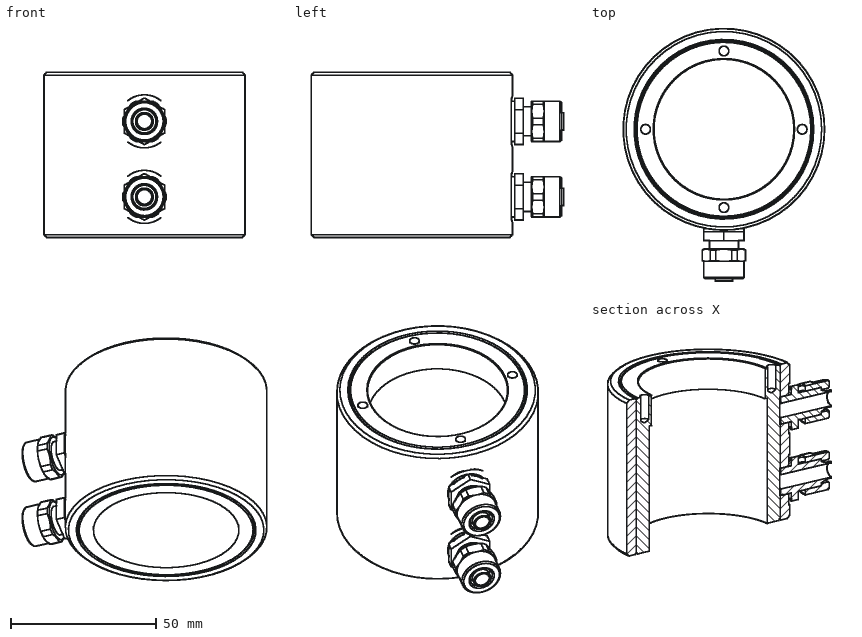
import cadquery as cq
import math

JACKET_RADIUS = 34.7
JACKET_HEIGHT = 57.0
RIM_CHAMFER = 1.05
SEAM_CHAMFER = 0.5

SLEEVE_RADIUS = 30.5
BORE_RADIUS = 24.1
LOWER_BORE_RADIUS = 25.1
LIP_HEIGHT = 11.3
BORE_CHAMFER = 0.3

SCREW_HOLE_COUNT = 4
SCREW_HOLE_RADIUS = 1.65
SCREW_CIRCLE_RADIUS = 27.0
SCREW_HOLE_DEPTH = 8.7
DRILL_POINT_ANGLE = 118.0

LOWER_FITTING_Z = 14.0
FITTING_SPACING = 26.0
FITTING_HEIGHTS = [LOWER_FITTING_Z, LOWER_FITTING_Z + FITTING_SPACING]
FITTING_TIP = 87.05 - JACKET_RADIUS
SPOTFACE_RADIUS = 9.1
SPOTFACE_DEPTH = 0.47
SEAT = JACKET_RADIUS - SPOTFACE_DEPTH

HEX_FLATS = 13.9
HEX_CORNERS = HEX_FLATS / math.cos(math.radians(30))
SEAL_THICKNESS = 1.1
BODY_HEX_THICKNESS = 3.0
SHANK_RADIUS = 4.9
SHANK_LENGTH = 3.5
SHANK_HOLE_DEPTH = 5.2
NECK_RADIUS = 5.05
CHANNEL_RADIUS = 2.5

TIP = FITTING_TIP - SEAT
NOZZLE_PROTRUSION = 0.8
NUT_END = TIP - NOZZLE_PROTRUSION
NUT_LENGTH = 10.4
NUT_START = NUT_END - NUT_LENGTH
HOSE_BORE_LENGTH = 3.5
NUT_SHOULDER = NUT_END - HOSE_BORE_LENGTH

NOZZLE_TIP_RADIUS = 3.05
NOZZLE_TIP_LENGTH = 1.7

NUT_HEX_LENGTH = 4.35
NUT_CORNER_RADIUS = 7.5
NUT_BACK_CHAMFER = 0.8
NUT_CHAMFER_SLOPE = math.tan(math.radians(30))
NUT_ROUND_RADIUS = HEX_FLATS / 2
NUT_END_CHAMFER = 0.5
HOSE_RADIUS = 4.0
HOSE_MOUTH_CHAMFER = 0.5


def revolved(profile):
    """Revolve (radius, height) points about the Z axis."""
    return cq.Workplane("XZ").polyline(profile).close().revolve(360, (0, 0, 0), (0, 1, 0))


def placed_on_jacket(shape, height):
    """Turn a part built along +Z so that it points to -Y and stands on the flat seat."""
    return shape.rotate((0, 0, 0), (1, 0, 0), 90).translate((0, -SEAT, height))


def make_jacket():
    jacket = revolved([
        (SLEEVE_RADIUS + SEAM_CHAMFER, 0),
        (JACKET_RADIUS - RIM_CHAMFER, 0),
        (JACKET_RADIUS, RIM_CHAMFER),
        (JACKET_RADIUS, JACKET_HEIGHT - RIM_CHAMFER),
        (JACKET_RADIUS - RIM_CHAMFER, JACKET_HEIGHT),
        (SLEEVE_RADIUS + SEAM_CHAMFER, JACKET_HEIGHT),
        (SLEEVE_RADIUS, JACKET_HEIGHT - SEAM_CHAMFER),
        (SLEEVE_RADIUS, SEAM_CHAMFER),
    ])
    spotface = cq.Workplane("XY").circle(SPOTFACE_RADIUS).extrude(2 * SPOTFACE_DEPTH)
    shank_hole = cq.Workplane("XY").circle(SHANK_RADIUS).extrude(-SHANK_HOLE_DEPTH)
    for height in FITTING_HEIGHTS:
        jacket = jacket.cut(placed_on_jacket(spotface, height))
        jacket = jacket.cut(placed_on_jacket(shank_hole, height))
    return jacket


def make_sleeve():
    sleeve = revolved([
        (LOWER_BORE_RADIUS, 0),
        (SLEEVE_RADIUS - SEAM_CHAMFER, 0),
        (SLEEVE_RADIUS, SEAM_CHAMFER),
        (SLEEVE_RADIUS, JACKET_HEIGHT - SEAM_CHAMFER),
        (SLEEVE_RADIUS - SEAM_CHAMFER, JACKET_HEIGHT),
        (BORE_RADIUS + BORE_CHAMFER, JACKET_HEIGHT),
        (BORE_RADIUS, JACKET_HEIGHT - BORE_CHAMFER),
        (BORE_RADIUS, JACKET_HEIGHT - LIP_HEIGHT),
        (LOWER_BORE_RADIUS, JACKET_HEIGHT - LIP_HEIGHT),
    ])
    hole_bottom = JACKET_HEIGHT - SCREW_HOLE_DEPTH
    point_depth = SCREW_HOLE_RADIUS / math.tan(math.radians(DRILL_POINT_ANGLE / 2))
    drill = revolved([
        (0, hole_bottom - point_depth),
        (SCREW_HOLE_RADIUS, hole_bottom),
        (SCREW_HOLE_RADIUS, JACKET_HEIGHT),
        (0, JACKET_HEIGHT),
    ]).translate((SCREW_CIRCLE_RADIUS, 0, 0))
    for index in range(SCREW_HOLE_COUNT):
        angle = index * 360 / SCREW_HOLE_COUNT
        sleeve = sleeve.cut(drill.rotate((0, 0, 0), (0, 0, 1), angle))
    return sleeve


def make_seal():
    return cq.Workplane("XY").circle(HEX_FLATS / 2).circle(SHANK_RADIUS).extrude(SEAL_THICKNESS)


def make_fitting_body():
    core = revolved([
        (CHANNEL_RADIUS, -SHANK_LENGTH),
        (SHANK_RADIUS, -SHANK_LENGTH),
        (SHANK_RADIUS, SEAL_THICKNESS),
        (NECK_RADIUS, SEAL_THICKNESS),
        (NECK_RADIUS, NUT_SHOULDER),
        (HOSE_RADIUS, NUT_SHOULDER),
        (NOZZLE_TIP_RADIUS, TIP - NOZZLE_TIP_LENGTH),
        (NOZZLE_TIP_RADIUS, TIP),
        (CHANNEL_RADIUS, TIP),
    ])
    hexagon = (
        cq.Workplane("XY")
        .workplane(offset=SEAL_THICKNESS)
        .polygon(6, HEX_CORNERS)
        .circle(CHANNEL_RADIUS)
        .extrude(BODY_HEX_THICKNESS)
        .rotate((0, 0, 0), (0, 0, 1), 90)
    )
    return core.union(hexagon)


def make_nut():
    hex_end = NUT_START + NUT_HEX_LENGTH
    front_chamfer = NUT_CORNER_RADIUS - NUT_ROUND_RADIUS
    turned = revolved([
        (NECK_RADIUS, NUT_START),
        (NUT_CORNER_RADIUS - NUT_BACK_CHAMFER, NUT_START),
        (NUT_CORNER_RADIUS, NUT_START + NUT_BACK_CHAMFER * NUT_CHAMFER_SLOPE),
        (NUT_CORNER_RADIUS, hex_end - front_chamfer * NUT_CHAMFER_SLOPE),
        (NUT_ROUND_RADIUS, hex_end),
        (NUT_ROUND_RADIUS, NUT_END - NUT_END_CHAMFER),
        (NUT_ROUND_RADIUS - NUT_END_CHAMFER, NUT_END),
        (HOSE_RADIUS + HOSE_MOUTH_CHAMFER, NUT_END),
        (HOSE_RADIUS, NUT_END - HOSE_MOUTH_CHAMFER),
        (HOSE_RADIUS, NUT_SHOULDER),
        (NECK_RADIUS, NUT_SHOULDER),
    ])
    hexagon = (
        cq.Workplane("XY").workplane(offset=NUT_START).polygon(6, HEX_CORNERS).extrude(NUT_LENGTH)
    )
    return turned.intersect(hexagon)


jacket = make_jacket()
sleeve = make_sleeve()
seals = [placed_on_jacket(make_seal(), height) for height in FITTING_HEIGHTS]
fitting_bodies = [placed_on_jacket(make_fitting_body(), height) for height in FITTING_HEIGHTS]
nuts = [placed_on_jacket(make_nut(), height) for height in FITTING_HEIGHTS]

result = cq.Compound.makeCompound([
    jacket.val(),
    sleeve.val(),
    *[seal.val() for seal in seals],
    *[body.val() for body in fitting_bodies],
    *[nut.val() for nut in nuts],
])